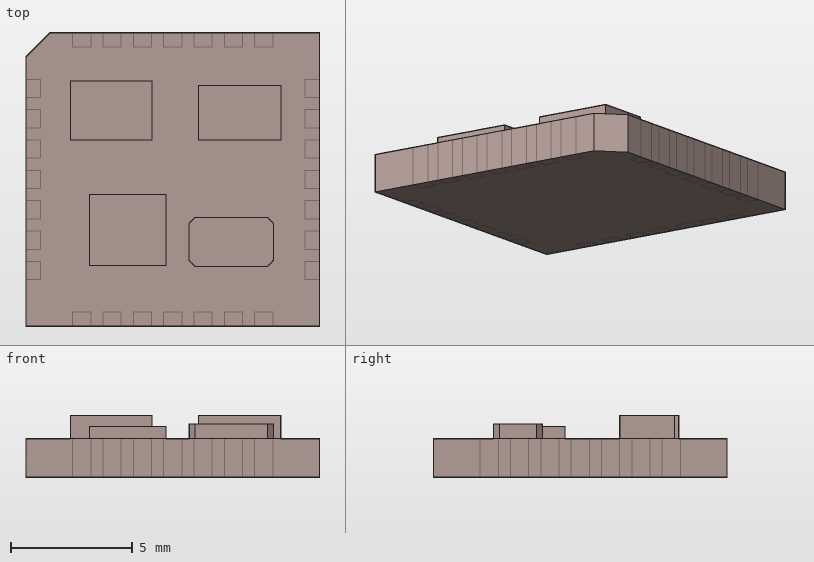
import cadquery as cq

BOARD_SIDE = 12.1
BOARD_THICKNESS = 1.6
CORNER_CHAMFER = 1.0

PADS_PER_SIDE = 7
PAD_PITCH = 1.25
PAD_WIDTH = 0.75
PAD_DEPTH = 0.6

TALL_CHIP_HEIGHT = 0.95
LEFT_CHIP_SIZE = (3.36, 2.44)
LEFT_CHIP_CENTRE = (-2.53, 2.84)
RIGHT_CHIP_SIZE = (3.4, 2.25)
RIGHT_CHIP_CENTRE = (2.75, 2.75)
FLAT_CHIP_SIZE = (3.15, 2.92)
FLAT_CHIP_CENTRE = (-1.85, -2.08)
FLAT_CHIP_HEIGHT = 0.5
CRYSTAL_SIZE = (3.48, 2.02)
CRYSTAL_CENTRE = (2.41, -2.57)
CRYSTAL_HEIGHT = 0.6
CRYSTAL_CHAMFER = 0.25


def make_board():
    board = cq.Workplane("XY").rect(BOARD_SIDE, BOARD_SIDE).extrude(BOARD_THICKNESS)
    return board.edges("|Z and <X and >Y").chamfer(CORNER_CHAMFER)


def make_pads():
    """All edge pads: one row along the -Y side, turned onto each of the four sides."""
    first_x = -PAD_PITCH * (PADS_PER_SIDE - 1) / 2
    centre_y = -(BOARD_SIDE - PAD_DEPTH) / 2
    centres = [(first_x + i * PAD_PITCH, centre_y) for i in range(PADS_PER_SIDE)]
    row = cq.Workplane("XY").pushPoints(centres).rect(PAD_WIDTH, PAD_DEPTH).extrude(BOARD_THICKNESS)
    pads = cq.Workplane("XY")
    for side in range(4):
        pads = pads.add(row.rotate((0, 0, 0), (0, 0, 1), 90 * side))
    return pads.combine()


def make_component(size, centre, height):
    """A rectangular block standing on the top face of the board."""
    return cq.Workplane("XY", origin=(*centre, BOARD_THICKNESS)).rect(*size).extrude(height)


def make_crystal():
    crystal = make_component(CRYSTAL_SIZE, CRYSTAL_CENTRE, CRYSTAL_HEIGHT)
    return crystal.edges("|Z").chamfer(CRYSTAL_CHAMFER)


pads = make_pads()
result = make_board()
result = result.union(make_component(LEFT_CHIP_SIZE, LEFT_CHIP_CENTRE, TALL_CHIP_HEIGHT))
result = result.union(make_component(RIGHT_CHIP_SIZE, RIGHT_CHIP_CENTRE, TALL_CHIP_HEIGHT))
result = result.union(make_component(FLAT_CHIP_SIZE, FLAT_CHIP_CENTRE, FLAT_CHIP_HEIGHT))
result = result.union(make_crystal())

result = result.cut(pads).union(pads, clean=False)